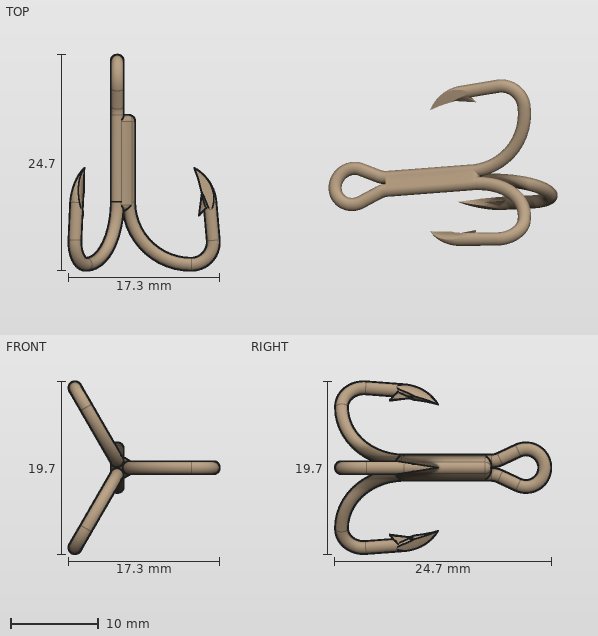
import cadquery as cq
import math


wire_diameter = 1.5
wire_radius = wire_diameter / 2
axis_to_wire = wire_diameter / math.sqrt(3)
shank_length = 9.93
hook_angles = (0, 120, 240)

solder_end_y = -10.97
solder_rounding = 0.75

eye_radius = 2.15
eye_center_y = 3.97
neck_gap = 0.01
neck_radius = 2.35

bend_radius = 7.1
turn_radius = 2.55
leg_lean = math.radians(5)
leg_length = 4.3

point_radius = 4.2
point_turn = math.radians(56.5)
flat_length = 4.75
inner_cut_length = 4.55

barb_start_radial = 9.2
barb_start_y = -8.8
barb_tip_radial = 8.85
barb_tip_y = -11.5
barb_tip_half_width = 0.12
barb_root_y = -10.55
barb_root_half_width = 0.6

wire_plane_x = -axis_to_wire / 2


def along(point, angle, distance):
    """Move a (radial, Y) point along a direction; the angle is measured from +Y towards the axis."""
    return (point[0] - distance * math.sin(angle), point[1] + distance * math.cos(angle))


def outward(point, angle, distance):
    """Move a (radial, Y) point square to that direction, away from the axis."""
    return (point[0] + distance * math.cos(angle), point[1] + distance * math.sin(angle))


bend_start = (axis_to_wire, -shank_length)
bend_center = (axis_to_wire + bend_radius, -shank_length)
bend_end = (bend_center[0], bend_center[1] - bend_radius)
turn_center = (bend_end[0], bend_end[1] + turn_radius)
leg_start = outward(turn_center, leg_lean, turn_radius)
leg_end = along(leg_start, leg_lean, leg_length)
point_center = outward(leg_end, leg_lean, -point_radius)
point_end = outward(point_center, leg_lean + point_turn, point_radius)
tip = outward(point_end, leg_lean + point_turn, wire_radius)


def sweep_wire(path, plane):
    """Sweep the round wire section, drawn on the given plane, along a path."""
    return plane.circle(wire_radius).sweep(path)


def solder():
    """Rounded triangular bar that wraps the three shank wires."""
    length = -solder_end_y
    corners = [
        (axis_to_wire * math.cos(math.radians(a)), axis_to_wire * math.sin(math.radians(a)))
        for a in hook_angles
    ]
    bar = (
        cq.Workplane("XZ")
        .polyline(corners)
        .close()
        .offset2D(wire_radius)
        .extrude(length)
        .faces("<Y or >Y")
        .edges()
        .fillet(solder_rounding)
    )
    web = cq.Workplane("XY").box(
        wire_radius - wire_plane_x, shank_length, wire_diameter, centered=(False, False, True)
    )
    return bar.union(web.translate((wire_plane_x - wire_radius, -shank_length, 0)))


def eye():
    """Wire that runs up one shank, around the eye and down the other shank."""
    wire_z = (wire_diameter + neck_gap) / 2
    neck_center_z = wire_z + neck_radius
    span = math.hypot(eye_center_y, neck_center_z)
    slope = math.asin((eye_radius + neck_radius) / span) - math.atan2(neck_center_z, eye_center_y)

    def neck_point(angle):
        return (neck_radius * math.sin(angle), neck_center_z - neck_radius * math.cos(angle))

    eye_start = (eye_center_y - eye_radius * math.sin(slope), eye_radius * math.cos(slope))

    def mirrored(point):
        return (point[0], -point[1])

    neck_end = neck_point(slope)
    neck_middle = neck_point(slope / 2)
    shank_end = (-shank_length, wire_z)
    shank_top = (0, wire_z)
    path = (
        cq.Workplane("YZ", origin=(wire_plane_x, 0, 0))
        .moveTo(*shank_end)
        .lineTo(*shank_top)
        .threePointArc(neck_middle, neck_end)
        .lineTo(*eye_start)
        .threePointArc((eye_center_y + eye_radius, 0), mirrored(eye_start))
        .lineTo(*mirrored(neck_end))
        .threePointArc(mirrored(neck_middle), mirrored(shank_top))
        .lineTo(*mirrored(shank_end))
    )
    start = cq.Workplane("XZ", origin=(wire_plane_x, -shank_length, wire_z))
    return sweep_wire(path, start)


def hook_wire():
    """Round wire of one hook, from the shank to the start of the leg."""
    bend_middle = outward(bend_center, math.radians(225), bend_radius)
    turn_middle = outward(turn_center, (leg_lean - math.pi / 2) / 2, turn_radius)
    path = (
        cq.Workplane("XY")
        .moveTo(*bend_start)
        .threePointArc(bend_middle, bend_end)
        .threePointArc(turn_middle, leg_start)
    )
    return sweep_wire(path, cq.Workplane("XZ", origin=(*bend_start, 0)))


def hook_point():
    """Leg and curved point, with the point ground on the inside and on both sides."""
    point_middle = outward(point_center, leg_lean + point_turn / 2, point_radius)
    path = (
        cq.Workplane("XY")
        .moveTo(*leg_start)
        .lineTo(*leg_end)
        .threePointArc(point_middle, point_end)
    )
    leg_direction = (-math.sin(leg_lean), math.cos(leg_lean), 0)
    start = cq.Workplane(cq.Plane((*leg_start, 0), xDir=(0, 0, 1), normal=leg_direction))
    blank = sweep_wire(path, start)

    cut_offset = (tip[1] - leg_end[1]) - inner_cut_length
    inside_of_leg = outward(leg_end, leg_lean, -wire_radius)
    cut_start = along(inside_of_leg, leg_lean, cut_offset / math.cos(leg_lean))
    inner_start = along(cut_start, leg_lean, -leg_length)
    outer_start = outward(inner_start, leg_lean, 2 * wire_diameter)
    outer_end = (outer_start[0], tip[1] + wire_diameter)
    outside = (
        cq.Workplane("XY")
        .moveTo(*inner_start)
        .lineTo(*cut_start)
        .tangentArcPoint(tip, relative=False)
        .lineTo(tip[0], outer_end[1])
        .lineTo(*outer_end)
        .lineTo(*outer_start)
        .close()
        .extrude(wire_diameter, both=True)
    )

    wedge_scale = 2
    wedge_base_y = tip[1] - wedge_scale * flat_length
    wedge_base_half = wedge_scale * wire_radius
    wedge = (
        cq.Workplane("YZ")
        .polyline([(tip[1], 0), (wedge_base_y, wedge_base_half), (wedge_base_y, -wedge_base_half)])
        .close()
        .extrude(outer_start[0] + wire_diameter)
    )
    return blank.intersect(outside).intersect(wedge)


def barb():
    """Wedge that rises from the inside of the point and ends in a narrow edge beside the leg."""
    root_below = (leg_end[1] - barb_root_y) / math.cos(leg_lean)
    root_inset = math.sqrt(wire_radius**2 - barb_root_half_width**2)
    root = outward(along(leg_end, leg_lean, -root_below), leg_lean, -root_inset)
    start = (barb_start_radial, barb_start_y, 0)
    edge_left = (barb_tip_radial, barb_tip_y, barb_tip_half_width)
    edge_right = (barb_tip_radial, barb_tip_y, -barb_tip_half_width)
    root_left = (*root, barb_root_half_width)
    root_right = (*root, -barb_root_half_width)
    outlines = [
        (start, edge_left, root_left),
        (start, edge_right, edge_left),
        (start, root_right, edge_right),
        (start, root_left, root_right),
        (edge_left, edge_right, root_right, root_left),
    ]
    faces = [
        cq.Face.makeFromWires(cq.Wire.makePolygon([cq.Vector(*p) for p in outline], close=True))
        for outline in outlines
    ]
    return cq.Workplane(cq.Solid.makeSolid(cq.Shell.makeShell(faces)))


hook = hook_wire().union(hook_point()).union(barb())
result = solder().union(eye())
for angle in hook_angles:
    result = result.union(hook.rotate((0, 0, 0), (0, 1, 0), angle))